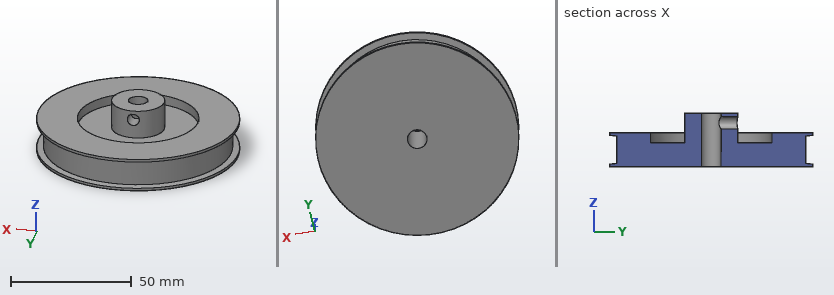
import cadquery as cq

flange_radius = 42.0
total_height = 22.2

rim_height = 14.2
drum_radius = 39.15
flange_edge_thickness = 1.2
flange_root_thickness = 1.5

recess_radius = 25.1
recess_depth = 4.1
hub_radius = 11.0
bore_radius = 4.0

screw_hole_radius = 2.5
screw_hole_height = (rim_height + total_height) / 2


def pulley_body():
    """Revolve the half section of the rim, recess, hub and bore."""
    floor_height = rim_height - recess_depth
    section = (
        cq.Workplane("XZ")
        .moveTo(bore_radius, 0)
        .lineTo(flange_radius, 0)
        .lineTo(flange_radius, flange_edge_thickness)
        .lineTo(drum_radius, flange_root_thickness)
        .lineTo(drum_radius, rim_height - flange_root_thickness)
        .lineTo(flange_radius, rim_height - flange_edge_thickness)
        .lineTo(flange_radius, rim_height)
        .lineTo(recess_radius, rim_height)
        .lineTo(recess_radius, floor_height)
        .lineTo(hub_radius, floor_height)
        .lineTo(hub_radius, total_height)
        .lineTo(bore_radius, total_height)
        .close()
    )
    return section.revolve(360, (0, 0, 0), (0, 1, 0))


def screw_hole():
    """Cylinder from the pulley axis out past the hub toward +Y."""
    return (
        cq.Workplane("XZ")
        .center(0, screw_hole_height)
        .circle(screw_hole_radius)
        .extrude(-recess_radius)
    )


result = pulley_body().cut(screw_hole())